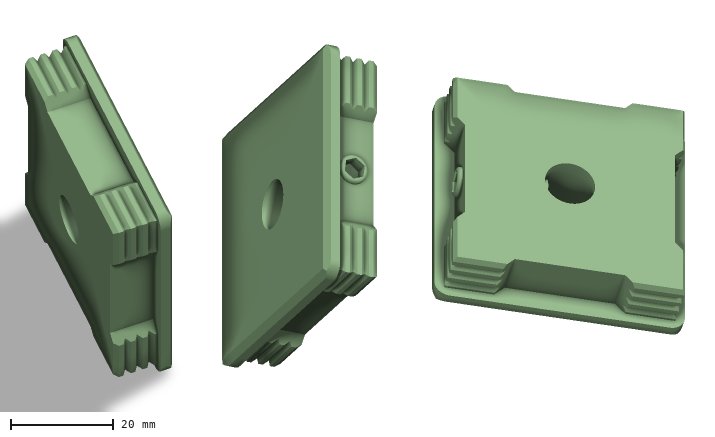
import cadquery as cq
import math

PLATE_SIDE = 50.0
PLATE_THICKNESS = 3.0
BODY_DEPTH = 9.0
BACK_Y = (PLATE_THICKNESS + BODY_DEPTH) / 2
SHOULDER_Y = BACK_Y - PLATE_THICKNESS
END_Y = SHOULDER_Y - BODY_DEPTH

PLATE_CORNER_RADIUS = 3.0
PLATE_CHAMFER_WIDTH = 1.5
PLATE_CHAMFER_DEPTH = 1.0

BODY_HALF = 23.1
RIB_PITCH = 2.5
GROOVE_COUNT = 3
GROOVE_DEPTH = 0.75
FIRST_GROOVE_START = 0.5
GROOVE_SHALLOW_LENGTH = 0.95
GROOVE_STEEP_LENGTH = 0.6
END_CHAMFER_WIDTH = 0.6
END_CHAMFER_LENGTH = 1.0

RECESS_FLOOR = 21.0
RECESS_FLOOR_HALF = 11.0

BORE_DIAMETER = 10.0

SCREW_DIAMETER = 6.0
SCREW_HEAD_X = -22.0
SCREW_TIP_X = -4.0
SCREW_Y = (SHOULDER_Y + END_Y) / 2
SCREW_EDGE_RADIUS = 0.65
SOCKET_ACROSS_FLATS = 4.0
SOCKET_DEPTH = 3.0
SOCKET_TURN = 8.0


def square_turned(half_profile):
    """Carry a profile of (distance from axis, y) points round a square, with mitred corners."""
    mirrored = [(-distance, y) for distance, y in reversed(half_profile)]
    outline = half_profile + mirrored
    along_z = cq.Workplane("XY").polyline(outline).close().extrude(PLATE_SIDE / 2, both=True)
    along_x = along_z.rotate((0, 0, 0), (0, 1, 0), 90)
    return along_z.intersect(along_x)


def make_plate():
    """Square cover plate with rounded corners and a chamfered outer face."""
    half = PLATE_SIDE / 2
    chamfered = square_turned([
        (half, SHOULDER_Y),
        (half, BACK_Y - PLATE_CHAMFER_DEPTH),
        (half - PLATE_CHAMFER_WIDTH, BACK_Y),
    ])
    rounded = (
        cq.Workplane("XZ", origin=(0, BACK_Y, 0))
        .rect(PLATE_SIDE, PLATE_SIDE)
        .extrude(PLATE_THICKNESS)
        .edges("|Y")
        .fillet(PLATE_CORNER_RADIUS)
    )
    return chamfered.intersect(rounded)


def rib_profile():
    """Barbed half outline of the body, from the shoulder to the free end."""
    points = [(BODY_HALF, SHOULDER_Y)]
    for index in range(GROOVE_COUNT):
        start_y = SHOULDER_Y - FIRST_GROOVE_START - index * RIB_PITCH
        bottom_y = start_y - GROOVE_SHALLOW_LENGTH
        points += [
            (BODY_HALF, start_y),
            (BODY_HALF - GROOVE_DEPTH, bottom_y),
            (BODY_HALF, bottom_y - GROOVE_STEEP_LENGTH),
        ]
    points += [
        (BODY_HALF, END_Y + END_CHAMFER_LENGTH),
        (BODY_HALF - END_CHAMFER_WIDTH, END_Y),
    ]
    return points


def side_recesses():
    """Four wedge-ended recesses, one in the middle of each body side."""
    outer = PLATE_SIDE / 2
    outer_half = RECESS_FLOOR_HALF + outer - RECESS_FLOOR
    recess = (
        cq.Workplane("XZ", origin=(0, SHOULDER_Y, 0))
        .polyline([
            (-RECESS_FLOOR_HALF, RECESS_FLOOR),
            (RECESS_FLOOR_HALF, RECESS_FLOOR),
            (outer_half, outer),
            (-outer_half, outer),
        ])
        .close()
        .extrude(BODY_DEPTH)
    )
    return [recess.rotate((0, 0, 0), (0, 1, 0), 90 * turn) for turn in range(4)]


def screw_cylinder():
    """Plain cylinder from screw head to screw tip."""
    return (
        cq.Workplane("YZ", origin=(SCREW_HEAD_X, SCREW_Y, 0))
        .circle(SCREW_DIAMETER / 2)
        .extrude(SCREW_TIP_X - SCREW_HEAD_X)
    )


def make_plug():
    """Cover plate and ribbed body in one piece, bored through and cross-drilled for the screw."""
    body = square_turned(rib_profile())
    for recess in side_recesses():
        body = body.cut(recess)
    bore = (
        cq.Workplane("XZ", origin=(0, BACK_Y, 0))
        .circle(BORE_DIAMETER / 2)
        .extrude(BACK_Y - END_Y)
    )
    return make_plate().union(body).cut(bore).cut(screw_cylinder())


def make_set_screw():
    """Headless screw with a rounded outer edge and a hexagon socket."""
    socket_across_corners = SOCKET_ACROSS_FLATS / math.cos(math.radians(30))
    socket = (
        cq.Workplane("YZ", origin=(SCREW_HEAD_X, 0, 0))
        .polygon(6, socket_across_corners)
        .extrude(SOCKET_DEPTH)
        .rotate((0, 0, 0), (1, 0, 0), 90 + SOCKET_TURN)
        .translate((0, SCREW_Y, 0))
    )
    return screw_cylinder().faces("<X").edges().fillet(SCREW_EDGE_RADIUS).cut(socket)


plug = make_plug()
set_screw = make_set_screw()

result = cq.Compound.makeCompound([plug.solids().val(), set_screw.solids().val()])